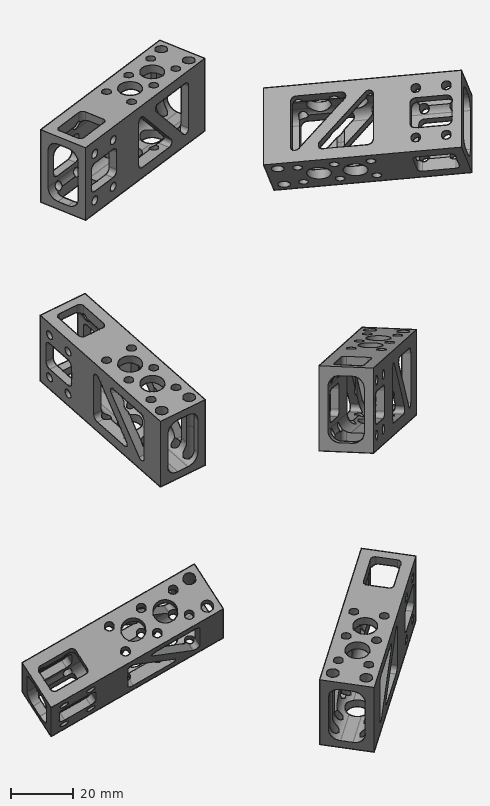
import cadquery as cq
import math

WIDTH = 18.0
LENGTH = 65.0
HEIGHT = 28.0
BACK_Y = LENGTH / 2
FRONT_Y = -LENGTH / 2
WALL = 3.0

BORE_WIDTH = WIDTH - 2 * WALL
BORE_HEIGHT = HEIGHT - 2 * WALL
BORE_CORNER_RADIUS = 3.95

SCREW_DIAMETER = 3.1
CORNER_HOLE_DIAMETER = 4.1
LARGE_HOLE_DIAMETER = 8.0
SCREW_SPACING = 10.0
CORNER_HOLE_SPACING = 11.0
CORNER_HOLE_Y = BACK_Y - 4.0
HOLE_PATTERN_Y = BACK_Y - 22.5
ROW_PITCH = 12.0

WINDOW_Y = FRONT_Y + 10.0
WINDOW_LENGTH = 13.85
TOP_WINDOW_WIDTH = 10.0
TOP_WINDOW_RADIUS = 1.5
SIDE_WINDOW_HEIGHT = 10.9
SIDE_WINDOW_RADIUS = 2.0
SIDE_SCREW_RISE = 18.0

TRUSS_LENGTH = 27.2
TRUSS_HEIGHT = 20.0
WEB_WIDTH = 3.95
WEB_ANGLE = 48.0
TRUSS_SQUARE_RADIUS = 2.0
TRUSS_SHARP_RADIUS = 1.5


def cut_along_z(points, diameter):
    """Round cutters through the full height at the given (x, y) points."""
    return (
        cq.Workplane("XY")
        .pushPoints(points)
        .circle(diameter / 2)
        .extrude(HEIGHT / 2, both=True)
    )


def cut_along_x(points, diameter):
    """Round cutters through the full width at the given (y, z) points."""
    return (
        cq.Workplane("YZ")
        .pushPoints(points)
        .circle(diameter / 2)
        .extrude(WIDTH / 2, both=True)
    )


def pairs(spacing, others):
    """Points at plus and minus half the spacing for each second coordinate."""
    return [(side * spacing / 2, other) for other in others for side in (-1, 1)]


def bore():
    return (
        cq.Workplane("XY")
        .box(BORE_WIDTH, LENGTH, BORE_HEIGHT)
        .edges("|Y")
        .fillet(BORE_CORNER_RADIUS)
    )


def top_window():
    return (
        cq.Workplane("XY")
        .box(TOP_WINDOW_WIDTH, WINDOW_LENGTH, HEIGHT)
        .edges("|Z")
        .fillet(TOP_WINDOW_RADIUS)
        .translate((0, WINDOW_Y, 0))
    )


def side_window():
    return (
        cq.Workplane("XY")
        .box(WIDTH, WINDOW_LENGTH, SIDE_WINDOW_HEIGHT)
        .edges("|X")
        .fillet(SIDE_WINDOW_RADIUS)
        .translate((0, WINDOW_Y, 0))
    )


def truss_opening():
    """Upper back triangle, drawn in (y, z) about the middle of the truss."""
    angle = math.radians(WEB_ANGLE)
    back = TRUSS_LENGTH / 2
    top = TRUSS_HEIGHT / 2
    web_offset = WEB_WIDTH / 2 / math.cos(angle)
    top_tip = (web_offset - top) / math.tan(angle)
    bottom_tip = web_offset - back * math.tan(angle)
    corners = [(back, top), (top_tip, top), (back, bottom_tip)]
    triangle = cq.Workplane("YZ").polyline(corners).close().extrude(WIDTH / 2, both=True)
    square_edge = cq.selectors.NearestToPointSelector((0, back, top))
    sharp_edges = (
        cq.selectors.NearestToPointSelector((0, top_tip, top))
        + cq.selectors.NearestToPointSelector((0, back, bottom_tip))
    )
    return (
        triangle.edges(square_edge)
        .fillet(TRUSS_SQUARE_RADIUS)
        .edges(sharp_edges)
        .fillet(TRUSS_SHARP_RADIUS)
    )


screw_rows = [HOLE_PATTERN_Y + step * ROW_PITCH for step in (-1, 0, 1)]
large_hole_points = [(0, HOLE_PATTERN_Y + step * ROW_PITCH) for step in (-0.5, 0.5)]
side_screw_points = [
    (WINDOW_Y + dy, z)
    for dy, z in pairs(SCREW_SPACING, (-SIDE_SCREW_RISE / 2, SIDE_SCREW_RISE / 2))
]

upper_opening = truss_opening()
lower_opening = upper_opening.rotate((0, 0, 0), (1, 0, 0), 180)

result = (
    cq.Workplane("XY")
    .box(WIDTH, LENGTH, HEIGHT)
    .cut(bore())
    .cut(cut_along_z(pairs(CORNER_HOLE_SPACING, [CORNER_HOLE_Y]), CORNER_HOLE_DIAMETER))
    .cut(cut_along_z(pairs(SCREW_SPACING, screw_rows), SCREW_DIAMETER))
    .cut(cut_along_z(large_hole_points, LARGE_HOLE_DIAMETER))
    .cut(top_window())
    .cut(side_window())
    .cut(cut_along_x(side_screw_points, SCREW_DIAMETER))
    .cut(upper_opening.translate((0, HOLE_PATTERN_Y, 0)))
    .cut(lower_opening.translate((0, HOLE_PATTERN_Y, 0)))
)